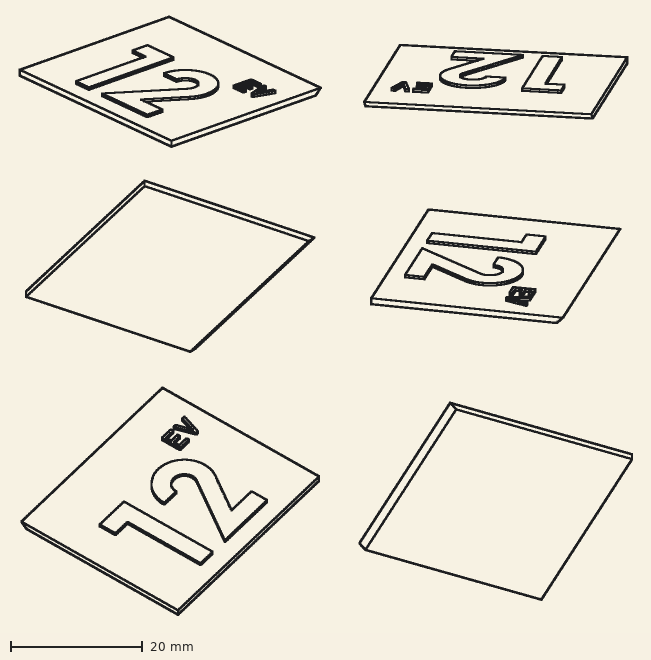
import cadquery as cq
import math

plate_width = 35.0
plate_depth = 30.0
plate_thickness = 1.0
bevel_run = plate_thickness

relief_height = 0.4

stroke = 3.0
digit_height = 17.0
digit_base_y = 3.0
digit_top_y = digit_base_y + digit_height
one_left = 6.5
one_right = one_left + 2 * stroke
two_left = one_right + stroke
bowl_outer_radius = 5.0
bowl_inner_radius = bowl_outer_radius - stroke
two_width = 10.5
two_right = two_left + two_width

letter_height = 3.5
letter_base_y = digit_top_y
letter_top_y = letter_base_y + letter_height

e_left = 26.4
e_width = 2.25
e_middle_width = 2.0
e_stem = 0.45
e_bar = 0.5
e_middle_bar_height = 1.52

v_right = 32.0
v_width = 2.7
v_arm_width = 0.55
v_foot_width = 0.4
v_notch_height = 0.85


def raise_character(outline):
    """Extrude a closed outline lying on the top face of the plate."""
    return outline.close().extrude(relief_height)


def top_face():
    return cq.Workplane("XY", origin=(0, 0, plate_thickness))


def make_plate():
    """Plate whose back edge is undercut at 45 degrees."""
    side_profile = [
        (0, 0),
        (plate_depth - bevel_run, 0),
        (plate_depth, plate_thickness),
        (0, plate_thickness),
    ]
    return cq.Workplane("YZ").polyline(side_profile).close().extrude(plate_width)


def make_digit_one():
    stem_left = one_right - stroke
    flag_bottom_y = digit_top_y - stroke
    outline = top_face().polyline([
        (stem_left, digit_base_y),
        (one_right, digit_base_y),
        (one_right, digit_top_y),
        (one_left, digit_top_y),
        (one_left, flag_bottom_y),
        (stem_left, flag_bottom_y),
    ])
    return raise_character(outline)


def make_digit_two():
    """Round bowl, slanted leg and flat foot, all one stroke wide."""
    center_x = two_right - bowl_outer_radius
    center_y = digit_top_y - bowl_outer_radius
    foot_top_y = digit_base_y + stroke
    corner_dx = center_x - two_left
    corner_dy = center_y - digit_base_y
    corner_distance = math.hypot(corner_dx, corner_dy)
    leg_angle = math.atan2(corner_dy, corner_dx) - math.asin(bowl_inner_radius / corner_distance)
    leg_end_angle = leg_angle - math.pi / 2
    drop = center_y - foot_top_y
    leg_start_x = center_x + (bowl_outer_radius - drop * math.cos(leg_angle)) / math.sin(leg_angle)

    def bowl_point(radius, angle):
        return (center_x + radius * math.cos(angle), center_y + radius * math.sin(angle))

    bowl_top = math.pi / 2
    bowl_tip = math.pi
    outline = (
        top_face()
        .moveTo(two_left, digit_base_y)
        .lineTo(two_right, digit_base_y)
        .lineTo(two_right, foot_top_y)
        .lineTo(leg_start_x, foot_top_y)
        .lineTo(*bowl_point(bowl_outer_radius, leg_end_angle))
        .threePointArc(bowl_point(bowl_outer_radius, bowl_top), bowl_point(bowl_outer_radius, bowl_tip))
        .lineTo(*bowl_point(bowl_inner_radius, bowl_tip))
        .threePointArc(bowl_point(bowl_inner_radius, bowl_top), bowl_point(bowl_inner_radius, leg_end_angle))
    )
    return raise_character(outline)


def make_letter_e():
    stem_right = e_left + e_stem
    middle_bottom_y = letter_base_y + e_middle_bar_height
    middle_top_y = middle_bottom_y + e_bar
    bar_right = e_left + e_width
    middle_right = e_left + e_middle_width
    outline = top_face().polyline([
        (e_left, letter_base_y),
        (bar_right, letter_base_y),
        (bar_right, letter_base_y + e_bar),
        (stem_right, letter_base_y + e_bar),
        (stem_right, middle_bottom_y),
        (middle_right, middle_bottom_y),
        (middle_right, middle_top_y),
        (stem_right, middle_top_y),
        (stem_right, letter_top_y - e_bar),
        (bar_right, letter_top_y - e_bar),
        (bar_right, letter_top_y),
        (e_left, letter_top_y),
    ])
    return raise_character(outline)


def make_letter_v():
    v_left = v_right - v_width
    v_middle = v_right - v_width / 2
    outline = top_face().polyline([
        (v_middle - v_foot_width / 2, letter_base_y),
        (v_middle + v_foot_width / 2, letter_base_y),
        (v_right, letter_top_y),
        (v_right - v_arm_width, letter_top_y),
        (v_middle, letter_base_y + v_notch_height),
        (v_left + v_arm_width, letter_top_y),
        (v_left, letter_top_y),
    ])
    return raise_character(outline)


plate = make_plate()
digit_one = make_digit_one()
digit_two = make_digit_two()
letter_e = make_letter_e()
letter_v = make_letter_v()

result = cq.Compound.makeCompound([
    plate.val(),
    digit_one.val(),
    digit_two.val(),
    letter_e.val(),
    letter_v.val(),
])